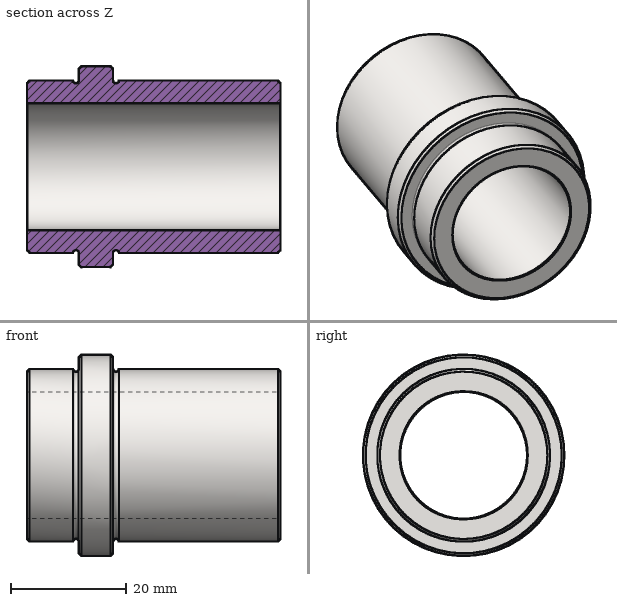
import cadquery as cq

length = 44.0
body_radius = 30.0 / 2
flange_radius = 35.0 / 2
bore_radius = 22.0 / 2
flange_start = 8.98
flange_end = 14.95
chamfer = 0.5
bore_chamfer = 0.15
groove_radius = 0.5


def relief_groove(profile, start):
    """Continue the profile with a semicircular groove cut into the body."""
    bottom = (start + groove_radius, body_radius - groove_radius)
    end = (start + 2 * groove_radius, body_radius)
    return profile.threePointArc(bottom, end)


profile = (
    cq.Workplane("XY")
    .moveTo(0, bore_radius + bore_chamfer)
    .lineTo(0, body_radius - chamfer)
    .lineTo(chamfer, body_radius)
    .lineTo(flange_start - 2 * groove_radius, body_radius)
)
profile = relief_groove(profile, flange_start - 2 * groove_radius)
profile = (
    profile.lineTo(flange_start, flange_radius - chamfer)
    .lineTo(flange_start + chamfer, flange_radius)
    .lineTo(flange_end - chamfer, flange_radius)
    .lineTo(flange_end, flange_radius - chamfer)
    .lineTo(flange_end, body_radius)
)
profile = relief_groove(profile, flange_end)
profile = (
    profile.lineTo(length - chamfer, body_radius)
    .lineTo(length, body_radius - chamfer)
    .lineTo(length, bore_radius + bore_chamfer)
    .lineTo(length - bore_chamfer, bore_radius)
    .lineTo(bore_chamfer, bore_radius)
    .close()
)

result = profile.revolve(360, (0, 0, 0), (1, 0, 0))